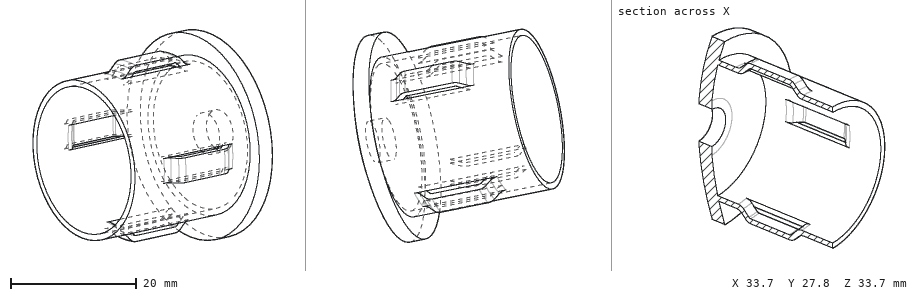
import cadquery as cq
import math

head_radius = 16.85
total_length = 27.8
tube_outer_radius = 13.0
wall = 1
tube_inner_radius = tube_outer_radius - wall

rim_underside = 22.38
rim_height = 2.7
rim_top = rim_underside + rim_height
dome_radius = 49.98
hole_radius = 3.4
seat_radius = 5.0

clip_width = 4.1
clip_length = 14.02
clip_start = 6.0
clip_middle = clip_start + clip_length / 2
clip_rise = 1.75
clip_bend_radius = 1.5
clip_slope_angle = math.radians(45)


dome_centre_drop = math.sqrt(dome_radius**2 - head_radius**2)


def dome_point(edge_height, radius):
    """Point at a radius on a dome that meets the edge of the head at edge_height."""
    height = edge_height - dome_centre_drop + math.sqrt(dome_radius**2 - radius**2)
    return (radius, height)


def cap_body():
    """Tube and shelled dome, revolved in one piece around Y."""
    flat_height = total_length - rim_top + dome_centre_drop
    flat_radius = math.sqrt(dome_radius**2 - flat_height**2)
    seat_point = dome_point(rim_underside, seat_radius)
    profile = (
        cq.Workplane("XY")
        .moveTo(hole_radius, total_length)
        .lineTo(flat_radius, total_length)
        .threePointArc(
            dome_point(rim_top, (flat_radius + head_radius) / 2),
            (head_radius, rim_top),
        )
        .lineTo(head_radius, rim_underside)
        .threePointArc(
            dome_point(rim_underside, (head_radius + tube_outer_radius) / 2),
            dome_point(rim_underside, tube_outer_radius),
        )
        .lineTo(tube_outer_radius, 0)
        .lineTo(tube_inner_radius, 0)
        .lineTo(*dome_point(rim_underside, tube_inner_radius))
        .threePointArc(
            dome_point(rim_underside, (tube_inner_radius + seat_radius) / 2),
            seat_point,
        )
        .lineTo(hole_radius, seat_point[1])
        .close()
    )
    return profile.revolve(360, (0, 0, 0), (0, 1, 0))


def clip_ramp(depth):
    """Three points on each of the two bends of a clip ramp, at a depth below its outer skin."""
    bend_rise = clip_bend_radius * (1 - math.cos(clip_slope_angle))
    slope_run = (clip_rise - 2 * bend_rise) / math.tan(clip_slope_angle)
    ramp_run = 2 * clip_bend_radius * math.sin(clip_slope_angle) + slope_run

    foot_centre_radius = tube_outer_radius - depth + clip_bend_radius
    foot_centre_y = clip_start + depth * math.tan(clip_slope_angle / 2)

    top_centre_radius = tube_outer_radius + clip_rise - clip_bend_radius
    top_centre_y = clip_start + ramp_run
    top_bend = clip_bend_radius - depth

    foot = [
        (
            foot_centre_radius - clip_bend_radius * math.cos(angle),
            foot_centre_y + clip_bend_radius * math.sin(angle),
        )
        for angle in (0, clip_slope_angle / 2, clip_slope_angle)
    ]
    top = [
        (
            top_centre_radius + top_bend * math.cos(angle),
            top_centre_y - top_bend * math.sin(angle),
        )
        for angle in (clip_slope_angle, clip_slope_angle / 2, 0)
    ]
    return foot + top


def mirrored(points):
    """The same points on the far half of the clip, in reverse order."""
    return [(radius, 2 * clip_middle - y) for radius, y in reversed(points)]


def draw_ramp(sketch, points):
    """Draw bend, slope and bend on a sketch already standing at the first point."""
    return (
        sketch.threePointArc(points[1], points[2])
        .lineTo(*points[3])
        .threePointArc(points[4], points[5])
    )


def clip_ring():
    """Clip section revolved right round the tube."""
    near_outer = clip_ramp(0)
    far_outer = mirrored(near_outer)
    near_inner = clip_ramp(wall)[::-1]
    far_inner = mirrored(near_inner)

    sketch = cq.Workplane("XY").moveTo(*near_outer[0])
    sketch = draw_ramp(sketch, near_outer).lineTo(*far_outer[0])
    sketch = draw_ramp(sketch, far_outer).lineTo(tube_inner_radius, clip_start + clip_length)
    sketch = sketch.lineTo(*far_inner[0])
    sketch = draw_ramp(sketch, far_inner).lineTo(*near_inner[0])
    sketch = draw_ramp(sketch, near_inner).lineTo(tube_inner_radius, clip_start).close()
    return sketch.revolve(360, (0, 0, 0), (0, 1, 0))


def clip_cross():
    """Two crossed bars through the tube that bound the clips and their windows."""
    bar = cq.Workplane("XY").box(2 * head_radius, clip_length, clip_width)
    cross = bar.union(bar.rotate((0, 0, 0), (0, 1, 0), 90))
    return cross.translate((0, clip_middle, 0))


cross = clip_cross()
clips = clip_ring().intersect(cross)
result = cap_body().cut(cross).union(clips)